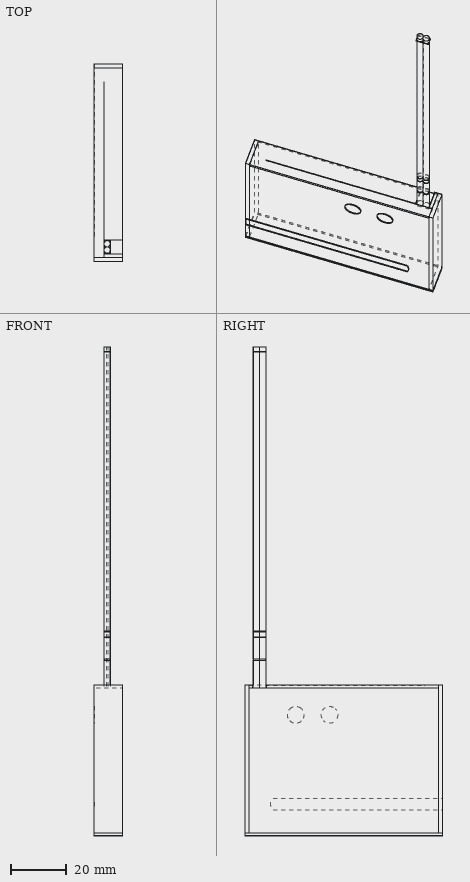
import cadquery as cq
import math

case_thickness = 10.3
case_length = 70.79
case_height = 54.0
total_height = 175.11

end_wall = 1.5
flat_wall = 1.0
core_length = case_length - 2 * end_wall
core_top = case_height - flat_wall
outer_face = -case_thickness / 2

mark_depth = 0.3
button_diameter = 6.0
button_height = 43.3
button_centres = (-5.1, -17.2)
channel_width = 4.2
channel_height = 11.3
channel_end = -25.6
channel_bulge = 0.6

rod_radius = 1.18
rod_pitch = 2.32
antenna_x = -0.39
antenna_y = -30.12
antenna_span = rod_pitch + 2 * rod_radius

groove_depth = 0.06
groove_width = 0.2
wide_groove_width = 0.5
ring_grooves = ((62.8, wide_groove_width), (70.95, groove_width), (73.05, groove_width))

tip_plate_drop = 1.85
tip_plate_thickness = 0.2

slot_width = 5.0
slot_left = antenna_x - rod_radius
score_width = 0.1
score_depth = 0.2
score_end = 28.9


def block(x_range, y_range, z_range):
    """Axis-aligned block between the given pairs of coordinates."""
    corner = (x_range[0], y_range[0], z_range[0])
    length, width, height = (high - low for low, high in (x_range, y_range, z_range))
    return cq.Workplane("XY").box(length, width, height, centered=False).translate(corner)


def wall(y_range, z_range):
    """Block running through the full case thickness."""
    return block((-case_thickness / 2, case_thickness / 2), y_range, z_range)


def face_plane():
    """YZ workplane lying on the -X face; extruding it goes into the case."""
    return cq.Workplane("YZ", origin=(outer_face, 0, 0))


def channel():
    """Shallow channel with a bulged end, open at the +Y end of the case."""
    low = channel_height - channel_width / 2
    high = channel_height + channel_width / 2
    return (
        face_plane()
        .moveTo(case_length / 2, low)
        .lineTo(channel_end, low)
        .threePointArc((channel_end - channel_bulge, channel_height), (channel_end, high))
        .lineTo(case_length / 2, high)
        .close()
        .extrude(mark_depth)
    )


def make_core():
    """Central block with two round button marks and the channel."""
    core = wall((-core_length / 2, core_length / 2), (flat_wall, core_top))
    buttons = (
        face_plane()
        .pushPoints([(y, button_height) for y in button_centres])
        .circle(button_diameter / 2)
        .extrude(mark_depth)
    )
    return core.cut(buttons).cut(channel())


def make_bottom_wall():
    """Full-length wall under the core and both end walls."""
    return wall((-case_length / 2, case_length / 2), (0, flat_wall))


def make_top_wall():
    """Top wall with the antenna slot open to +X and a fine score line along it."""
    top = wall((-core_length / 2, core_length / 2), (core_top, case_height))
    slot_y = (antenna_y - slot_width / 2, antenna_y + slot_width / 2)
    slot = block((slot_left, case_thickness / 2), slot_y, (core_top, case_height))
    score = block(
        (slot_left, slot_left + score_width),
        (-core_length / 2, score_end),
        (case_height - score_depth, case_height),
    )
    return top.cut(slot).cut(score)


def make_front_wall():
    """End wall at -Y, standing on the bottom wall."""
    return wall((-case_length / 2, -core_length / 2), (flat_wall, case_height))


def make_back_wall():
    """End wall at +Y, with the open end of the channel."""
    back = wall((core_length / 2, case_length / 2), (flat_wall, case_height))
    return back.cut(channel())


def twin_rods(bottom, top, inset=0.0):
    """Two merged parallel rods between two heights, with radius and half pitch cut by inset."""
    radius = rod_radius - inset
    half_pitch = rod_pitch / 2 - inset
    half_span = half_pitch + radius
    waist = math.sqrt(radius**2 - half_pitch**2)
    return (
        cq.Workplane("XY", origin=(antenna_x, antenna_y, bottom))
        .moveTo(0, -half_span)
        .threePointArc((radius, -half_pitch), (waist, 0))
        .threePointArc((radius, half_pitch), (0, half_span))
        .threePointArc((-radius, half_pitch), (-waist, 0))
        .threePointArc((-radius, -half_pitch), (0, -half_span))
        .close()
        .extrude(top - bottom, clean=False)
    )


def make_antenna():
    """Antenna stacked from full rod lengths and narrow ring grooves, with the tip plate.

    The unions are left uncleaned so each rod keeps its two half-round faces.
    """
    antenna = twin_rods(core_top, ring_grooves[0][0])
    for index, (groove_bottom, width) in enumerate(ring_grooves):
        groove_top = groove_bottom + width
        is_last = index == len(ring_grooves) - 1
        rod_top = total_height if is_last else ring_grooves[index + 1][0]
        antenna = antenna.union(twin_rods(groove_bottom, groove_top, groove_depth), clean=False)
        antenna = antenna.union(twin_rods(groove_top, rod_top), clean=False)
    tip_plate = cq.Workplane("XY").box(2 * rod_radius, antenna_span, tip_plate_thickness)
    tip_plate_height = total_height - tip_plate_drop
    return antenna.union(tip_plate.translate((antenna_x, antenna_y, tip_plate_height)), clean=False)


core = make_core()
bottom_wall = make_bottom_wall()
top_wall = make_top_wall()
front_wall = make_front_wall()
back_wall = make_back_wall()
antenna = make_antenna()

bodies = (core, bottom_wall, top_wall, front_wall, back_wall, antenna)
result = cq.Compound.makeCompound([body.solids().val() for body in bodies])